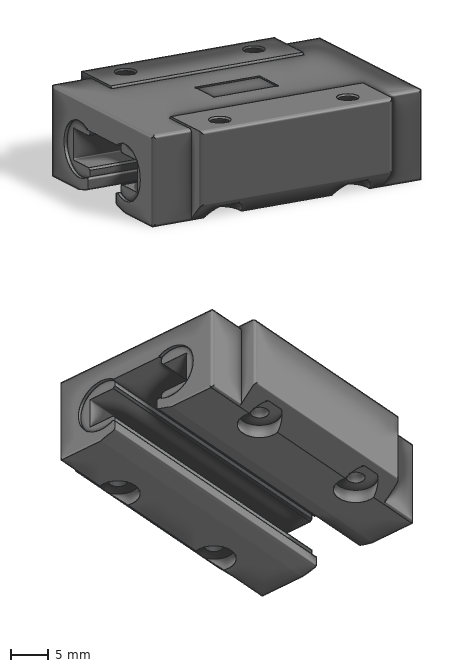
import cadquery as cq

LENGTH = 42.0
TOTAL_WIDTH = 32.0
TOTAL_HEIGHT = 13.2

BLOCK_WIDTH = 27.0
BLOCK_HEIGHT = 12.9
EDGE_ROUND = 0.5
END_ROUND_DROP = 0.2
UNDERSIDE_WIDTH = 26.38

FLANGE_LENGTH = 30.0
PAD_INNER_X = 7.65
PAD_EDGE_RUN = 0.35

HOLE_SPACING_X = 25.0
HOLE_SPACING_Y = 20.0
HOLE_DIAMETER = 2.5
HOLE_CHAMFER = 0.25
SPOT_FACE_DIAMETER = 6.0
SPOT_FACE_HEIGHT = 2.0

BORE_X = 6.15
BORE_Z = 5.75
BORE_RADIUS = 4.0
LIP_X = 3.7
LIP_SLOPE_RUN = 2.5
LIP_SLOPE_RISE = 0.67
LIP_TIP_ROUND = 0.35
LIP_TOE_ROUND = 0.5
CHANNEL_ROOF_Z = 9.05

LINER_RECESS = 0.5
LINER_END_X = 4.1
SLOT_HEIGHT = 4.5
SLOT_FLOOR_X = 8.53
SLOT_CHAMFER = 0.3
SLOT_FLOOR_ROUND = 0.15

LABEL_WIDTH = 5.12
LABEL_LENGTH = 10.1
LABEL_DEPTH = 0.2

SIDES = (-1, 1)


def along_y(outline, length):
    """Extrude an XZ outline symmetrically about the XZ plane."""
    return outline.extrude(length / 2, both=True)


def cross_section(width, height, length):
    """Prism along Y with rounded upper corners and rounded 45 degree lower side cuts."""
    half_width = width / 2
    half_underside = UNDERSIDE_WIDTH / 2
    cut_height = half_width - half_underside
    outline = cq.Workplane("XZ").polyline(
        [
            (-half_underside, 0),
            (half_underside, 0),
            (half_width, cut_height),
            (half_width, height),
            (-half_width, height),
            (-half_width, cut_height),
        ]
    ).close()
    prism = along_y(outline, length)
    return prism.faces("<X or >X").edges("|Y").fillet(EDGE_ROUND)


def rounded_plan(width, length):
    """Upright prism whose plan is a rectangle with rounded corners."""
    plan = cq.Workplane("XY").rect(width, length).extrude(TOTAL_HEIGHT)
    return plan.edges("|Z").fillet(EDGE_ROUND)


def block():
    section = cross_section(BLOCK_WIDTH, BLOCK_HEIGHT, LENGTH)
    side_profile = (
        cq.Workplane("XY")
        .workplane(offset=-END_ROUND_DROP)
        .rect(BLOCK_WIDTH, LENGTH)
        .extrude(BLOCK_HEIGHT + END_ROUND_DROP)
        .edges("|X")
        .fillet(EDGE_ROUND)
    )
    return section.intersect(rounded_plan(BLOCK_WIDTH, LENGTH)).intersect(side_profile)


def flanges():
    section = cross_section(TOTAL_WIDTH, TOTAL_HEIGHT, FLANGE_LENGTH)
    body = section.intersect(rounded_plan(TOTAL_WIDTH, FLANGE_LENGTH))
    pad_top_x = PAD_INNER_X + PAD_EDGE_RUN
    gap_between_pads = cq.Workplane("XZ").polyline(
        [
            (-PAD_INNER_X, BLOCK_HEIGHT),
            (PAD_INNER_X, BLOCK_HEIGHT),
            (pad_top_x, TOTAL_HEIGHT),
            (-pad_top_x, TOTAL_HEIGHT),
        ]
    ).close()
    return body.cut(along_y(gap_between_pads, FLANGE_LENGTH))


def bore(side, length):
    return along_y(cq.Workplane("XZ").center(side * BORE_X, BORE_Z).circle(BORE_RADIUS), length)


def rail_channel():
    """Space taken out of the housing for the liners and the rail."""
    throat = cq.Workplane("XZ").polyline(
        [
            (-LIP_X - LIP_SLOPE_RUN, 0),
            (-LIP_X, LIP_SLOPE_RISE),
            (-LIP_X, BORE_Z),
            (-LINER_END_X, BORE_Z),
            (-LINER_END_X, CHANNEL_ROOF_Z),
            (LINER_END_X, CHANNEL_ROOF_Z),
            (LINER_END_X, BORE_Z),
            (LIP_X, BORE_Z),
            (LIP_X, LIP_SLOPE_RISE),
            (LIP_X + LIP_SLOPE_RUN, 0),
        ]
    ).close()
    channel = along_y(throat, LENGTH)
    for side in SIDES:
        channel = channel.union(bore(side, LENGTH))
    above_roof = (
        cq.Workplane("XY")
        .workplane(offset=CHANNEL_ROOF_Z)
        .rect(2 * LINER_END_X, LENGTH)
        .extrude(BLOCK_HEIGHT - CHANNEL_ROOF_Z)
    )
    channel = channel.cut(above_roof)
    toe_edges = cq.selectors.BoxSelector(
        (-LIP_X - LIP_TIP_ROUND, -LENGTH, LIP_SLOPE_RISE / 2),
        (LIP_X + LIP_TIP_ROUND, LENGTH, LIP_SLOPE_RISE * 2),
    )
    tip_edges = cq.selectors.BoxSelector(
        (-LIP_X - LIP_TIP_ROUND, -LENGTH, LIP_SLOPE_RISE * 2),
        (LIP_X + LIP_TIP_ROUND, LENGTH, BORE_Z),
    )
    channel = channel.edges("|Y").edges(toe_edges).fillet(LIP_TOE_ROUND)
    return channel.edges("|Y").edges(tip_edges).fillet(LIP_TIP_ROUND)


def mounting_hole():
    """Through hole with a chamfered mouth and a spot face on the underside."""
    radius = HOLE_DIAMETER / 2
    half_profile = cq.Workplane("XZ").polyline(
        [
            (0, 0),
            (SPOT_FACE_DIAMETER / 2, 0),
            (SPOT_FACE_DIAMETER / 2, SPOT_FACE_HEIGHT),
            (radius, SPOT_FACE_HEIGHT),
            (radius, TOTAL_HEIGHT - HOLE_CHAMFER),
            (radius + HOLE_CHAMFER, TOTAL_HEIGHT),
            (0, TOTAL_HEIGHT),
        ]
    ).close()
    return half_profile.revolve(360, (0, 0, 0), (0, 1, 0))


def label_recess():
    plane = cq.Workplane("XY").workplane(offset=BLOCK_HEIGHT)
    return plane.rect(LABEL_WIDTH, LABEL_LENGTH).extrude(-LABEL_DEPTH)


def housing_body():
    body = block().union(flanges()).cut(rail_channel()).cut(label_recess())
    for side_x in SIDES:
        for side_y in SIDES:
            place = (side_x * HOLE_SPACING_X / 2, side_y * HOLE_SPACING_Y / 2, 0)
            body = body.cut(mounting_hole().translate(place))
    return body


def liner_body(side):
    """Round liner with a flat face and a rail slot open toward the channel."""
    length = LENGTH - 2 * LINER_RECESS
    half_slot = SLOT_HEIGHT / 2
    flared_half_slot = half_slot + SLOT_CHAMFER
    opening = cq.Workplane("XZ").polyline(
        [
            (0, BORE_Z - BORE_RADIUS),
            (side * LINER_END_X, BORE_Z - BORE_RADIUS),
            (side * LINER_END_X, BORE_Z - flared_half_slot),
            (side * (LINER_END_X + SLOT_CHAMFER), BORE_Z - half_slot),
            (side * SLOT_FLOOR_X, BORE_Z - half_slot),
            (side * SLOT_FLOOR_X, BORE_Z + half_slot),
            (side * (LINER_END_X + SLOT_CHAMFER), BORE_Z + half_slot),
            (side * LINER_END_X, BORE_Z + flared_half_slot),
            (side * LINER_END_X, BORE_Z + BORE_RADIUS),
            (0, BORE_Z + BORE_RADIUS),
        ]
    ).close()
    slot_floor = ">X" if side > 0 else "<X"
    rail_space = along_y(opening, length).faces(slot_floor).edges("|Y").fillet(SLOT_FLOOR_ROUND)
    return bore(side, length).cut(rail_space)


housing = housing_body()
liners = [liner_body(side) for side in SIDES]

result = cq.Compound.makeCompound([housing.val(), *[liner.val() for liner in liners]])